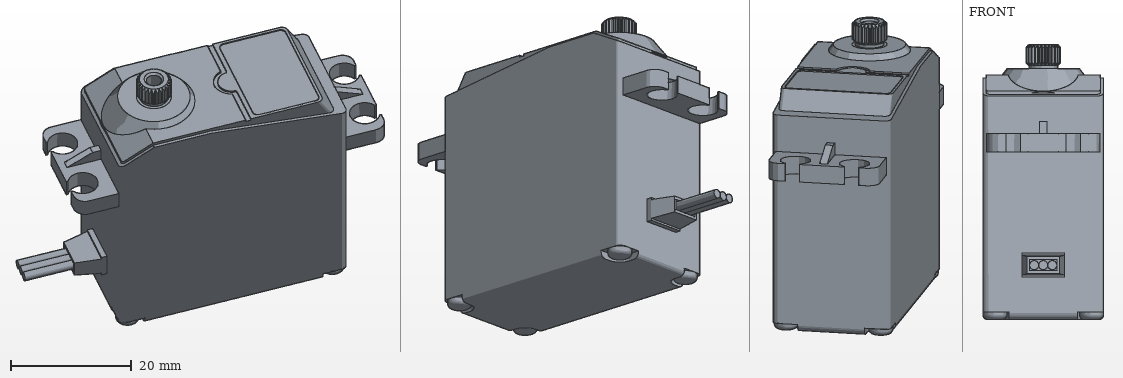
import cadquery as cq
import math


CASE_WIDTH = 20.0
CASE_LENGTH = 40.0
CASE_END_HEIGHT = 37.0
CASE_TOP_HEIGHT = 40.0
CASE_EDGE_RADIUS = 1.0
FRONT_BREAK_Y = -14.0
REAR_BREAK_Y = -4.0

LID_INSET = 0.55
LID_RISE = 0.5
LID_REAR_TOP_Y = 16.0
LID_REAR_FOOT_Y = 18.0
LID_REAR_RADIUS = 0.9
LID_FRONT_RADIUS = 0.5

LABEL_WIDTH = 17.9
LABEL_FRONT_Y = 4.0
LABEL_REAR_Y = 15.55
LABEL_CORNER_RADIUS = 0.9
LABEL_DEPTH = 0.2
GROOVE_FRONT_Y = 2.3
GROOVE_REAR_Y = 3.2
GROOVE_DEPTH = 0.3
GROOVE_ARC_Y = 3.1
GROOVE_INNER_RADIUS = 2.25
GROOVE_OUTER_RADIUS = 2.95
GROOVE_CORNER_RADIUS = 0.4

SHAFT_Y = -10.5
BOSS_TOP_RADIUS = 6.0
BOSS_TOP_HEIGHT = 41.5
BOSS_SPREAD = 0.785
BOSS_BOTTOM_HEIGHT = 37.5

EAR_WIDTH = 18.7
EAR_LENGTH = 7.25
EAR_BOTTOM = 27.75
EAR_THICKNESS = 3.0
EAR_CORNER_RADIUS = 2.0
EAR_HOLE_RADIUS = 2.5
EAR_HOLE_SPACING = 10.0
EAR_HOLE_EDGE_DISTANCE = 2.5
EAR_SLOT_WIDTH = 2.4
RIB_WIDTH = 1.3
RIB_LENGTH = 6.0
RIB_FLAT_LENGTH = 1.5
RIB_HEIGHT = 2.0

CABLE_HEIGHT = 9.0
FLANGE_WIDTH = 7.0
FLANGE_HEIGHT = 4.0
FLANGE_THICKNESS = 0.95
TAPER_ROOT_HEIGHT = 3.3
TAPER_TIP_WIDTH = 5.3
TAPER_TIP_HEIGHT = 2.8
TAPER_LENGTH = 4.45
CABLE_WINDOW_WIDTH = 4.6
CABLE_WINDOW_HEIGHT = 1.8
CABLE_WINDOW_DEPTH = 1.0
WIRE_DIAMETER = 1.5
WIRE_COUNT = 3
WIRE_END_Y = -33.9

SHAFT_TOP = 45.5
SPLINE_TEETH = 26
SPLINE_TIP_RADIUS = 2.9
SPLINE_TIP_SHARE = 0.33
SPLINE_ROOT_SHARE = 0.1
SPLINE_ROOT_RADIUS = 2.5
SPLINE_BOTTOM = 42.0
SPLINE_BEVEL_HEIGHT = 0.5
NECK_RADIUS = 2.4
BORE_RADIUS = 1.25
BORE_MOUTH_RADIUS = 1.6
BORE_DEPTH = 3.0
JOURNAL_RADIUS = 2.9
JOURNAL_DEPTH = 3.0

SCREW_HEAD_RADIUS = 2.0
SCREW_HEAD_HEIGHT = 1.25
SCREW_HEAD_ROUNDING = 0.8
SCREW_POCKET_SIZE = 4.35
SCREW_EDGE_DISTANCE = 2.0

HALF_WIDTH = CASE_WIDTH / 2
HALF_LENGTH = CASE_LENGTH / 2
LID_TOP = CASE_TOP_HEIGHT + LID_RISE
TAPER_ROOT_Y = -HALF_LENGTH - FLANGE_THICKNESS
TAPER_TIP_Y = TAPER_ROOT_Y - TAPER_LENGTH
WINDOW_FLOOR_Y = TAPER_TIP_Y + CABLE_WINDOW_DEPTH
SCREW_POINTS = [
    (side * (HALF_WIDTH - SCREW_EDGE_DISTANCE), end * (HALF_LENGTH - SCREW_EDGE_DISTANCE))
    for side in (-1, 1)
    for end in (-1, 1)
]


def side_extrusion(points, width):
    """Extrude an outline of (y, z) points to a width centred on X = 0."""
    return cq.Workplane("YZ").polyline(points).close().extrude(width / 2, both=True)


def case_shell():
    outline = [
        (-HALF_LENGTH, 0),
        (HALF_LENGTH, 0),
        (HALF_LENGTH, CASE_END_HEIGHT),
        (REAR_BREAK_Y, CASE_TOP_HEIGHT),
        (FRONT_BREAK_Y, CASE_TOP_HEIGHT),
        (-HALF_LENGTH, CASE_END_HEIGHT),
    ]
    shell = side_extrusion(outline, CASE_WIDTH)
    return shell.edges("|Z").fillet(CASE_EDGE_RADIUS).faces("<Z").edges().fillet(CASE_EDGE_RADIUS)


def lid():
    front_y = -HALF_LENGTH + LID_INSET
    bevel_slope = (CASE_TOP_HEIGHT - CASE_END_HEIGHT) / (FRONT_BREAK_Y + HALF_LENGTH)
    front_top = LID_TOP - bevel_slope * (FRONT_BREAK_Y - front_y)
    rear_slope = (CASE_TOP_HEIGHT - CASE_END_HEIGHT) / (HALF_LENGTH - REAR_BREAK_Y)
    rear_foot = CASE_END_HEIGHT + rear_slope * (HALF_LENGTH - LID_REAR_FOOT_Y)
    root_height = CASE_END_HEIGHT - 2 * LID_RISE
    lean = (LID_REAR_FOOT_Y - LID_REAR_TOP_Y) / (LID_TOP - rear_foot)
    outline = [
        (front_y, root_height),
        (LID_REAR_FOOT_Y + lean * (rear_foot - root_height), root_height),
        (LID_REAR_TOP_Y, LID_TOP),
        (FRONT_BREAK_Y, LID_TOP),
        (front_y, front_top),
    ]
    block = side_extrusion(outline, CASE_WIDTH - 2 * LID_INSET)
    block = block.faces("<Y").edges("|Z").fillet(LID_FRONT_RADIUS)
    return block.faces(">Y").edges("not |X").fillet(LID_REAR_RADIUS)


def boss():
    depth = BOSS_TOP_HEIGHT - BOSS_BOTTOM_HEIGHT
    cone = cq.Solid.makeCone(
        BOSS_TOP_RADIUS + BOSS_SPREAD * depth,
        BOSS_TOP_RADIUS,
        depth,
        pnt=cq.Vector(0, SHAFT_Y, BOSS_BOTTOM_HEIGHT),
    )
    return cq.Workplane(cone)


def label_recess():
    length = LABEL_REAR_Y - LABEL_FRONT_Y
    recess = cq.Workplane("XY", origin=(0, LABEL_FRONT_Y + length / 2, LID_TOP - LABEL_DEPTH))
    return recess.rect(LABEL_WIDTH, length).extrude(LID_RISE).edges("|Z").fillet(LABEL_CORNER_RADIUS)


def groove_edge(straight_y, arc_radius):
    """Region behind a line across the lid that bulges forward around a circular tab."""
    base = cq.Workplane("XY", origin=(0, 0, LID_TOP - GROOVE_DEPTH))
    behind = base.center(0, straight_y + HALF_LENGTH / 2).rect(CASE_WIDTH, HALF_LENGTH).extrude(LID_RISE)
    tab = base.center(0, GROOVE_ARC_Y).circle(arc_radius).extrude(LID_RISE)
    return behind.union(tab)


def seam_groove():
    inner = groove_edge(GROOVE_REAR_Y, GROOVE_INNER_RADIUS)
    corner_reach = GROOVE_INNER_RADIUS + GROOVE_CORNER_RADIUS
    tab_corners = cq.selectors.BoxSelector(
        (-corner_reach, GROOVE_ARC_Y, 0),
        (corner_reach, GROOVE_REAR_Y + GROOVE_CORNER_RADIUS, LID_TOP + LID_RISE),
    )
    inner = inner.edges("|Z").edges(tab_corners).fillet(GROOVE_CORNER_RADIUS)
    return groove_edge(GROOVE_FRONT_Y, GROOVE_OUTER_RADIUS).cut(inner)


def front_ear():
    tip_y = -HALF_LENGTH - EAR_LENGTH
    top = EAR_BOTTOM + EAR_THICKNESS
    hole_y = tip_y + EAR_HOLE_EDGE_DISTANCE
    base = cq.Workplane("XY", origin=(0, 0, EAR_BOTTOM))
    reach = EAR_LENGTH + 2 * CASE_EDGE_RADIUS
    plate = base.center(0, tip_y + reach / 2).rect(EAR_WIDTH, reach).extrude(EAR_THICKNESS)
    plate = plate.edges("|Z and <Y").fillet(EAR_CORNER_RADIUS)
    hole_points = [(side * EAR_HOLE_SPACING / 2, hole_y) for side in (-1, 1)]
    holes = base.pushPoints(hole_points).circle(EAR_HOLE_RADIUS).extrude(EAR_THICKNESS)
    slot_points = [(x, tip_y) for x, _ in hole_points]
    slots = base.pushPoints(slot_points).rect(EAR_SLOT_WIDTH, 2 * EAR_HOLE_EDGE_DISTANCE)
    rib = side_extrusion(
        [
            (-HALF_LENGTH + CASE_EDGE_RADIUS, top),
            (-HALF_LENGTH - RIB_LENGTH, top),
            (-HALF_LENGTH - RIB_FLAT_LENGTH, top + RIB_HEIGHT),
            (-HALF_LENGTH + CASE_EDGE_RADIUS, top + RIB_HEIGHT),
        ],
        RIB_WIDTH,
    )
    return plate.cut(holes).cut(slots.extrude(EAR_THICKNESS)).union(rib)


def cable_exit():
    """Flange and tapered sleeve on the -Y face, with a window for the wires."""
    flange = cq.Workplane("XZ", origin=(0, -HALF_LENGTH, CABLE_HEIGHT))
    flange = flange.rect(FLANGE_WIDTH, FLANGE_HEIGHT).extrude(FLANGE_THICKNESS)
    sleeve = (
        cq.Workplane("XZ", origin=(0, TAPER_ROOT_Y, CABLE_HEIGHT))
        .rect(FLANGE_WIDTH, TAPER_ROOT_HEIGHT)
        .workplane(offset=TAPER_LENGTH)
        .rect(TAPER_TIP_WIDTH, TAPER_TIP_HEIGHT)
        .loft(ruled=True)
    )
    window = cq.Workplane("XZ", origin=(0, WINDOW_FLOOR_Y, CABLE_HEIGHT))
    window = window.rect(CABLE_WINDOW_WIDTH, CABLE_WINDOW_HEIGHT).extrude(CABLE_WINDOW_DEPTH)
    return flange.union(sleeve).cut(window)


def screw_pockets():
    """Square bites out of the bottom corners, each rounded concentric with its screw head."""
    corners = [(x, y) for x in (-HALF_WIDTH, HALF_WIDTH) for y in (-HALF_LENGTH, HALF_LENGTH)]
    size = 2 * SCREW_POCKET_SIZE
    bites = cq.Workplane("XY").pushPoints(corners).rect(size, size).extrude(SCREW_HEAD_HEIGHT)
    return bites.edges("|Z").fillet(SCREW_POCKET_SIZE - SCREW_EDGE_DISTANCE)


def journal():
    """Cylinder of the shaft that sits in the boss, flush with the boss top."""
    base = cq.Workplane("XY", origin=(0, SHAFT_Y, BOSS_TOP_HEIGHT))
    return base.circle(JOURNAL_RADIUS).extrude(-JOURNAL_DEPTH)


def make_housing():
    ear = front_ear()
    body = case_shell().union(lid())
    body = body.cut(label_recess()).cut(seam_groove())
    body = body.union(boss()).union(ear).union(ear.mirror("XZ")).union(cable_exit())
    return body.cut(journal()).cut(screw_pockets())


def spline_outline():
    """Closed ring of trapezoidal teeth, the first one centred on -Y."""
    pitch = 2 * math.pi / SPLINE_TEETH
    half_tip = SPLINE_TIP_SHARE / 2
    half_gap = (1 - SPLINE_ROOT_SHARE) / 2
    tooth = [
        (-half_gap, SPLINE_ROOT_RADIUS),
        (-half_tip, SPLINE_TIP_RADIUS),
        (half_tip, SPLINE_TIP_RADIUS),
        (half_gap, SPLINE_ROOT_RADIUS),
    ]
    return [
        (radius * math.sin((i + turn) * pitch), -radius * math.cos((i + turn) * pitch))
        for i in range(SPLINE_TEETH)
        for turn, radius in tooth
    ]


def shaft_turning(points):
    """Revolve an outline of (radius, height) points about the shaft axis."""
    profile = cq.Workplane("XZ", origin=(0, SHAFT_Y, 0)).polyline(points).close()
    return profile.revolve(360, (0, 0, 0), (0, 1, 0))


def make_shaft():
    teeth = cq.Workplane("XY", origin=(0, SHAFT_Y, SPLINE_BOTTOM))
    teeth = teeth.polyline(spline_outline()).close().extrude(SHAFT_TOP - SPLINE_BOTTOM)
    envelope = shaft_turning(
        [
            (0, SPLINE_BOTTOM),
            (NECK_RADIUS, SPLINE_BOTTOM),
            (SPLINE_TIP_RADIUS, SPLINE_BOTTOM + SPLINE_BEVEL_HEIGHT),
            (SPLINE_TIP_RADIUS, SHAFT_TOP - SPLINE_BEVEL_HEIGHT),
            (NECK_RADIUS, SHAFT_TOP),
            (0, SHAFT_TOP),
        ]
    )
    neck = cq.Workplane("XY", origin=(0, SHAFT_Y, BOSS_TOP_HEIGHT))
    neck = neck.circle(NECK_RADIUS).extrude(SPLINE_BOTTOM - BOSS_TOP_HEIGHT)
    mouth_depth = BORE_MOUTH_RADIUS - BORE_RADIUS
    bore = shaft_turning(
        [
            (0, SHAFT_TOP - BORE_DEPTH),
            (BORE_RADIUS, SHAFT_TOP - BORE_DEPTH),
            (BORE_RADIUS, SHAFT_TOP - mouth_depth),
            (BORE_MOUTH_RADIUS, SHAFT_TOP),
            (0, SHAFT_TOP),
        ]
    )
    return teeth.intersect(envelope).union(neck).union(journal()).cut(bore)


def make_wire(x):
    wire = cq.Workplane("XZ", origin=(x, WINDOW_FLOOR_Y, CABLE_HEIGHT))
    return wire.circle(WIRE_DIAMETER / 2).extrude(WINDOW_FLOOR_Y - WIRE_END_Y)


def make_screw(x, y):
    """Round-edged screw head that seats against the ceiling of its corner pocket."""
    head = cq.Workplane("XY", origin=(x, y, 0)).circle(SCREW_HEAD_RADIUS).extrude(SCREW_HEAD_HEIGHT)
    return head.faces("<Z").edges().fillet(SCREW_HEAD_ROUNDING)


housing = make_housing()
shaft = make_shaft()
wires = [make_wire((i - (WIRE_COUNT - 1) / 2) * WIRE_DIAMETER) for i in range(WIRE_COUNT)]
screws = [make_screw(x, y) for x, y in SCREW_POINTS]

result = cq.Compound.makeCompound(
    [
        *housing.solids().vals(),
        *shaft.solids().vals(),
        *[wire.val() for wire in wires],
        *[screw.val() for screw in screws],
    ]
)